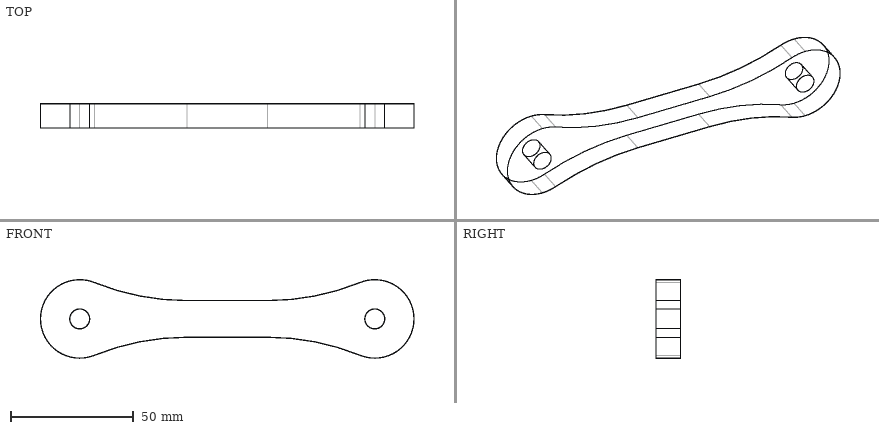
import cadquery as cq
import math

hole_spacing = 120.0
hole_diameter = 8.0
end_radius = 16.0
waist_height = 15.0
flank_radius = 100.0
thickness = 10.0

end_x = hole_spacing / 2
waist_z = waist_height / 2
flank_center_z = waist_z + flank_radius
center_distance = flank_radius + end_radius
flank_center_x = end_x - math.sqrt(center_distance**2 - flank_center_z**2)

toward_flank_x = (flank_center_x - end_x) / center_distance
toward_flank_z = flank_center_z / center_distance

tangent_x = end_x + end_radius * toward_flank_x
tangent_z = end_radius * toward_flank_z


def arc_middle(center_x, center_z, radius, start_angle, end_angle):
    """Return the middle point of an arc given its end angles in radians."""
    angle = (start_angle + end_angle) / 2
    return (center_x + radius * math.cos(angle), center_z + radius * math.sin(angle))


tangent_angle = math.atan2(toward_flank_z, toward_flank_x)
flank_mid_x, flank_mid_z = arc_middle(
    flank_center_x, flank_center_z, flank_radius, -math.pi / 2, tangent_angle - math.pi
)
shoulder_mid_x, shoulder_mid_z = arc_middle(end_x, 0, end_radius, tangent_angle, math.pi / 2)


def link_outline():
    """Closed link outline on the +Y face, symmetric about the X and Z axes."""
    return (
        cq.Workplane("XZ", origin=(0, thickness / 2, 0))
        .moveTo(-flank_center_x, waist_z)
        .lineTo(flank_center_x, waist_z)
        .threePointArc((flank_mid_x, flank_mid_z), (tangent_x, tangent_z))
        .threePointArc((shoulder_mid_x, shoulder_mid_z), (end_x, end_radius))
        .threePointArc((end_x + end_radius, 0), (end_x, -end_radius))
        .threePointArc((shoulder_mid_x, -shoulder_mid_z), (tangent_x, -tangent_z))
        .threePointArc((flank_mid_x, -flank_mid_z), (flank_center_x, -waist_z))
        .lineTo(-flank_center_x, -waist_z)
        .threePointArc((-flank_mid_x, -flank_mid_z), (-tangent_x, -tangent_z))
        .threePointArc((-shoulder_mid_x, -shoulder_mid_z), (-end_x, -end_radius))
        .threePointArc((-end_x - end_radius, 0), (-end_x, end_radius))
        .threePointArc((-shoulder_mid_x, shoulder_mid_z), (-tangent_x, tangent_z))
        .threePointArc((-flank_mid_x, flank_mid_z), (-flank_center_x, waist_z))
        .close()
    )


def pin_holes():
    """Through-hole cylinders centered on the two round ends."""
    return (
        cq.Workplane("XZ", origin=(0, thickness / 2, 0))
        .pushPoints([(-end_x, 0), (end_x, 0)])
        .circle(hole_diameter / 2)
        .extrude(thickness)
    )


link_body = link_outline().extrude(thickness, clean=False)
result = link_body.cut(pin_holes(), clean=False)